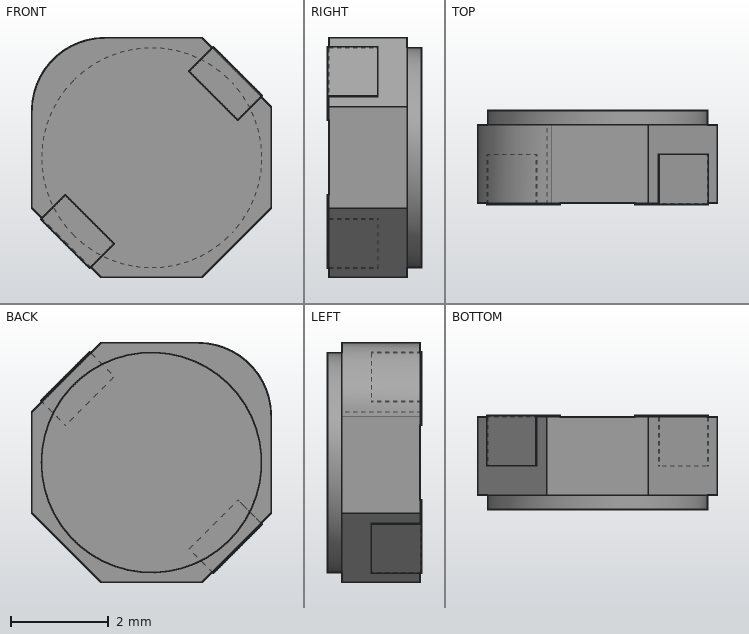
import cadquery as cq
import math

body_side = 4.9
body_depth = 1.6
corner_radius = 1.5
chamfer_face_width = 2.0
chamfer_leg = chamfer_face_width / math.sqrt(2)

cap_diameter = 4.5
cap_height = 0.3

terminal_thickness = 0.03
terminal_width = math.sqrt(2)
terminal_side_length = 1.0
terminal_front_length = terminal_width / 2
terminal_angles = (45, 225)

chamfer_face_distance = (body_side - chamfer_leg) / math.sqrt(2)


def make_body():
    """Square block with one rounded corner (-X, +Z) and three chamfered corners."""
    block = cq.Workplane("XY").box(body_side, body_depth, body_side).translate((0, body_depth / 2, 0))
    rounded = block.edges("|Y and <X and >Z").fillet(corner_radius)
    right_chamfered = rounded.edges("|Y and >X").chamfer(chamfer_leg)
    return right_chamfered.edges("|Y and <X and <Z").chamfer(chamfer_leg)


def make_cap():
    """Disc standing on the back face."""
    back_face = cq.Workplane("XZ", origin=(0, body_depth, 0))
    return back_face.circle(cap_diameter / 2).extrude(-cap_height)


def make_terminal(angle):
    """L-shaped terminal, built facing +X and turned about Y from +X towards +Z."""
    outer = chamfer_face_distance + terminal_thickness
    inner = outer - terminal_front_length
    profile = [
        (inner, 0),
        (inner, -terminal_thickness),
        (outer, -terminal_thickness),
        (outer, terminal_side_length),
        (chamfer_face_distance, terminal_side_length),
        (chamfer_face_distance, 0),
    ]
    plate = cq.Workplane("XY").polyline(profile).close().extrude(terminal_width / 2, both=True)
    return plate.rotate((0, 0, 0), (0, 1, 0), -angle)


result = make_body().union(make_cap())
for terminal_angle in terminal_angles:
    result = result.union(make_terminal(terminal_angle))